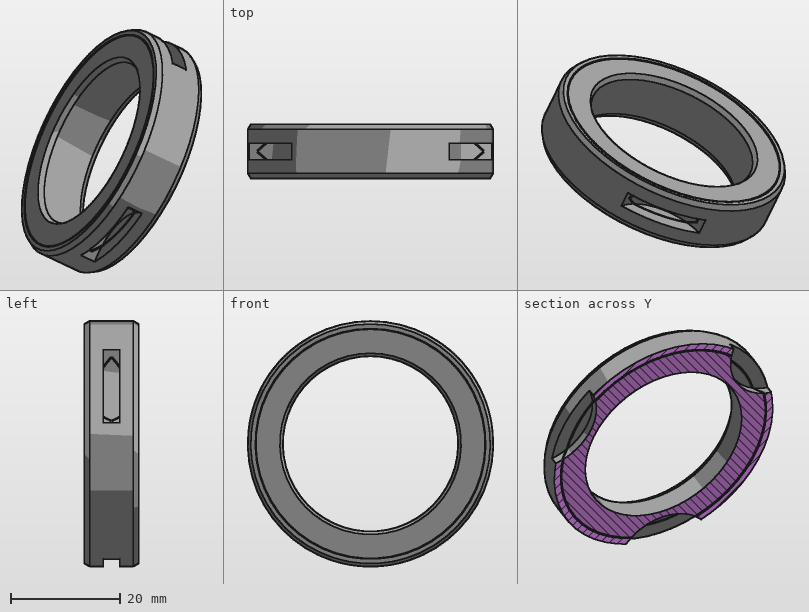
import cadquery as cq
import math


outer_radius = 22.5
bore_radius = 16.0
ring_width = 10.0
half_width = ring_width / 2

chamfer_length = 1.0
chamfer_angle = 30
chamfer_rise = chamfer_length * math.tan(math.radians(chamfer_angle))

crest_radius = 20.95
crest_gap = 0.15
inner_crest_half = 0.15
outer_crest_half = 0.22
valley_axial = half_width / 2

slot_width = 3.0
slot_disc_radius = 10.0
slot_disc_offset = 27.5
slot_angles = (30, 150, 270)


def labyrinth_points(radius, crest_half):
    """(radius, axial) corners of the zigzag, from the -Y face to the +Y face."""
    valley_radius = radius - (valley_axial - crest_half)
    return [
        (radius, -half_width),
        (radius, -half_width + crest_half),
        (valley_radius, -valley_axial),
        (radius, -crest_half),
        (radius, crest_half),
        (valley_radius, valley_axial),
        (radius, half_width - crest_half),
        (radius, half_width),
    ]


def revolve_about_y(points):
    """Turn a closed (radius, axial) outline about the Y axis."""
    return cq.Workplane("ZY").polyline(points).close().revolve(360, (0, 0, 0), (0, 1, 0))


def slot_cutter(angle):
    """Disc with its axis along Y, centred outside the rim at the given angle."""
    x = slot_disc_offset * math.cos(math.radians(angle))
    z = slot_disc_offset * math.sin(math.radians(angle))
    return (
        cq.Workplane("XZ")
        .center(x, z)
        .circle(slot_disc_radius)
        .extrude(slot_width / 2, both=True)
    )


def cut_slots(ring):
    for angle in slot_angles:
        ring = ring.cut(slot_cutter(angle))
    return ring


def make_outer_ring():
    rim = [
        (outer_radius - chamfer_rise, half_width),
        (outer_radius, half_width - chamfer_length),
        (outer_radius, -half_width + chamfer_length),
        (outer_radius - chamfer_rise, -half_width),
    ]
    inside = labyrinth_points(crest_radius + crest_gap, outer_crest_half)
    return cut_slots(revolve_about_y(inside + rim))


def make_inner_ring():
    bore = [
        (bore_radius + chamfer_rise, half_width),
        (bore_radius, half_width - chamfer_length),
        (bore_radius, -half_width + chamfer_length),
        (bore_radius + chamfer_rise, -half_width),
    ]
    outside = labyrinth_points(crest_radius, inner_crest_half)
    return cut_slots(revolve_about_y(outside + bore))


outer_ring = make_outer_ring()
inner_ring = make_inner_ring()

result = cq.Compound.makeCompound([outer_ring.solids().val(), inner_ring.solids().val()])